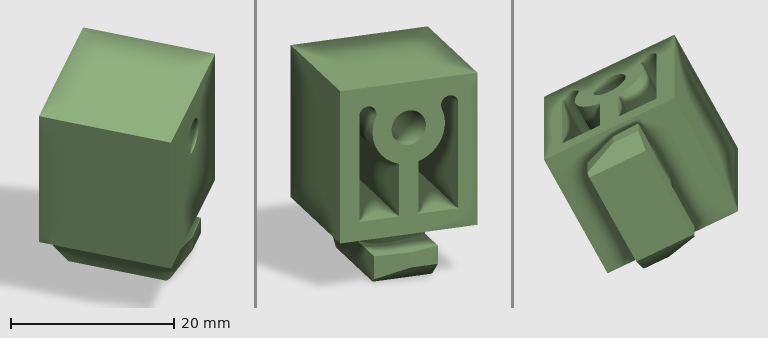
import cadquery as cq
import math

block_length = 17.0
block_width = 18.0
block_height = 20.0
wall = 2.5

hole_diameter = 4.5
hole_depth_below_top = 6.0
hole_z = block_height - hole_depth_below_top
boss_radius = hole_diameter / 2 + wall
rib_thickness = 2.5

pocket_depth = block_length - wall
pocket_outer_y = block_width / 2 - wall
pocket_top_z = block_height - wall

foot_length = 16.6
foot_width = 7.8
foot_bottom_z = -6.5
foot_top_high_z = -2.1
foot_top_low_z = -3.0
foot_chamfer = 2.0
lead_in_setback = 1.5
lead_in_start_y = 0.4


def both_turns(half):
    """Join a shape with its copy turned half a turn about Z."""
    return half.union(half.rotate((0, 0, 0), (0, 0, 1), 180))


def make_block():
    block = cq.Workplane("XY").box(block_length, block_width, block_height, centered=(True, True, False))
    hole = (
        cq.Workplane("YZ", origin=(-block_length / 2, 0, 0))
        .center(0, hole_z)
        .circle(hole_diameter / 2)
        .extrude(block_length)
    )
    return block.cut(hole)


def make_pocket():
    """Pocket on the +Y side: straight walls, the boss arc, and a round top end tangent to the boss."""
    reach_y = pocket_outer_y
    reach_z = pocket_top_z - hole_z
    reach_sum = reach_y + reach_z + boss_radius
    end_radius = reach_sum - math.sqrt(reach_sum**2 - (reach_y**2 + reach_z**2 - boss_radius**2))
    end_y = reach_y - end_radius
    end_z = pocket_top_z - end_radius

    tangent_angle = math.atan2(end_z - hole_z, end_y)
    rib_y = rib_thickness / 2
    rib_angle = -math.acos(rib_y / boss_radius)

    def on_boss(angle):
        return (boss_radius * math.cos(angle), hole_z + boss_radius * math.sin(angle))

    end_mid_angle = (math.pi + tangent_angle) / 2
    end_mid = (end_y + end_radius * math.cos(end_mid_angle), end_z + end_radius * math.sin(end_mid_angle))

    return (
        cq.Workplane("YZ", origin=(-block_length / 2, 0, 0))
        .moveTo(rib_y, wall)
        .lineTo(pocket_outer_y, wall)
        .lineTo(pocket_outer_y, end_z)
        .threePointArc(end_mid, on_boss(tangent_angle))
        .threePointArc(on_boss((tangent_angle + rib_angle) / 2), on_boss(rib_angle))
        .close()
        .extrude(pocket_depth)
    )


def make_neck():
    """Neck with two opposite square corners and two opposite rounded corners."""
    half_width = foot_width / 2
    neck_height = -foot_bottom_z
    round_core = cq.Workplane("XY").circle(half_width).extrude(-neck_height)
    square_corner = cq.Workplane("XY").rect(half_width, half_width, centered=False).extrude(-neck_height)
    return round_core.union(both_turns(square_corner))


def make_foot_half():
    """The +X half of the foot: sloped top, bottom end chamfer and a trimmed -Y corner."""
    half_width = foot_width / 2
    end_x = foot_length / 2
    body = (
        cq.Workplane("YZ")
        .polyline([
            (-half_width, foot_bottom_z),
            (half_width, foot_bottom_z),
            (half_width, foot_top_high_z),
            (-half_width, foot_top_low_z),
        ])
        .close()
        .extrude(end_x)
    )
    chamfered = body.faces("<Z").edges(">X").chamfer(foot_chamfer)
    corner = (
        cq.Workplane("XY", origin=(0, 0, foot_bottom_z))
        .polyline([
            (end_x - lead_in_setback, -half_width),
            (end_x, -half_width),
            (end_x, lead_in_start_y),
        ])
        .close()
        .extrude(-foot_bottom_z)
    )
    return chamfered.cut(corner)


pocket = make_pocket()
block = make_block().cut(pocket).cut(pocket.mirror("XZ"))
result = block.union(make_neck()).union(both_turns(make_foot_half()))